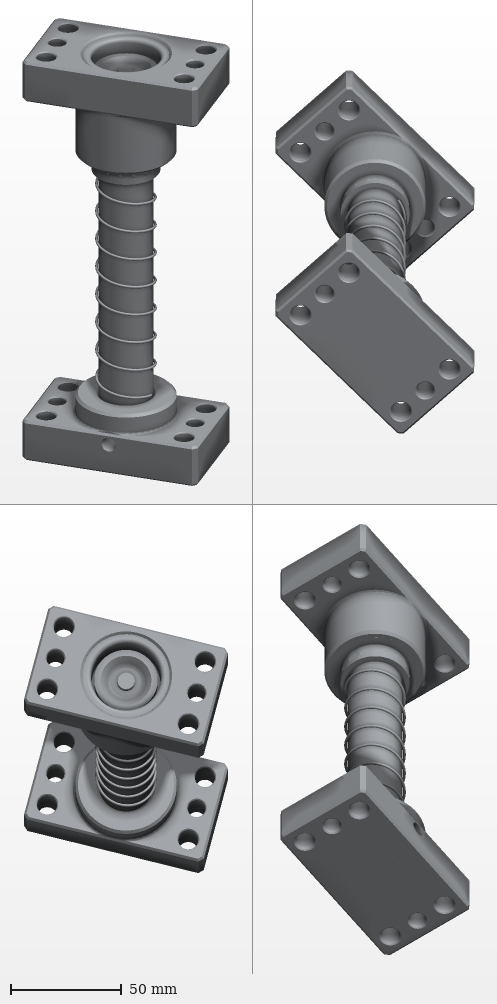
import cadquery as cq
import math

total_height = 202.3

plate_length = 84.0
plate_width = 48.0
plate_thickness = 20.0
plate_turn = 13.2
corner_chamfer = 2.0
plate_edge_chamfer = 1.0

hole_row_offset = 33.0
hole_pitch = 15.2
outer_hole_diameter = 9.1
middle_hole_diameter = 8.0
hole_chamfer = 0.5

boss_diameter = 46.0
boss_root_fillet = 1.0
boss_end_chamfer = 1.2
housing_boss_length = 30.3
base_boss_length = 10.0

post_diameter = 24.9
post_mouth_chamfer = 1.0

bush_outer_radius = 19.8
bush_bore_radius = 15.8
bush_recess = 1.0
bush_mouth_fillet = 1.8

cage_outer_radius = 15.5
cage_clearance = 0.2
cage_bottom = 143.2
ball_count = 16
ball_height = 147.3

cap_radius = 14.4
cap_depth = 7.5
cap_thickness = 6.0
cup_mouth_radius = 11.5
cup_cone_radius = 8.7
cup_cone_depth = 2.6
cup_floor_radius = 6.9
cup_depth = 3.5
screw_radius = 4.0
screw_length = 16.2
screw_chamfer = 0.3
screw_protrusion = 2.2

wire_radius = 0.6
coil_radius = 13.4
spring_pitch = 14.06
spring_turns = 7.7
spring_bottom = 32.0

cross_hole_radius = 3.5
cross_hole_height = 14.8

boss_radius = boss_diameter / 2
post_radius = post_diameter / 2
housing_plate_bottom = total_height - plate_thickness
housing_bottom = housing_plate_bottom - housing_boss_length
base_top = plate_thickness + base_boss_length
bush_top = total_height - bush_recess
cap_top = total_height - cap_depth
cap_bottom = cap_top - cap_thickness
cup_floor = cap_top - cup_depth
screw_top = cup_floor + screw_protrusion
screw_bottom = screw_top - screw_length
cage_inner_radius = post_radius + cage_clearance


def cylinder(radius, bottom, top):
    return cq.Workplane("XY").workplane(offset=bottom).circle(radius).extrude(top - bottom)


def revolved(profile):
    """Turn a profile drawn as (radius, height) about the Z axis."""
    return profile.close().revolve(360, (0, 0, 0), (0, 1, 0))


def mounting_hole(diameter, x, y):
    """Through-hole cutter with a chamfer at both plate faces."""
    radius = diameter / 2
    rim = radius + hole_chamfer
    profile = (
        cq.Workplane("XZ")
        .lineTo(rim, 0)
        .lineTo(radius, hole_chamfer)
        .lineTo(radius, plate_thickness - hole_chamfer)
        .lineTo(rim, plate_thickness)
        .lineTo(0, plate_thickness)
    )
    return revolved(profile).translate((x, y, 0))


def plate():
    """Chamfered plate with its mounting holes, from z = 0 up, square to the axes."""
    body = (
        cq.Workplane("XY")
        .box(plate_length, plate_width, plate_thickness, centered=(True, True, False))
        .edges("|Z").chamfer(corner_chamfer)
        .faces("<Z or >Z").edges().chamfer(plate_edge_chamfer)
    )
    for x in (-hole_row_offset, hole_row_offset):
        body = body.cut(mounting_hole(middle_hole_diameter, x, 0))
        for y in (-hole_pitch, hole_pitch):
            body = body.cut(mounting_hole(outer_hole_diameter, x, y))
    return body


def boss(length):
    """Boss standing on the plate's top face, with a chamfered end and a filleted root."""
    top = plate_thickness + length
    barrel = cylinder(boss_radius, plate_thickness / 2, top).faces(">Z").edges().chamfer(boss_end_chamfer)
    root = revolved(
        cq.Workplane("XZ")
        .moveTo(0, plate_thickness)
        .lineTo(boss_radius + boss_root_fillet, plate_thickness)
        .radiusArc((boss_radius, plate_thickness + boss_root_fillet), boss_root_fillet)
        .lineTo(0, plate_thickness + boss_root_fillet)
    )
    flat_width = plate_width - 2 * plate_edge_chamfer
    flat_face = (
        cq.Workplane("XY")
        .box(plate_length, flat_width, top, centered=(True, True, False))
    )
    return barrel.union(root.intersect(flat_face))


def flanged_body(boss_length):
    return plate().union(boss(boss_length))


def make_housing():
    body = flanged_body(housing_boss_length)
    body = body.rotate((0, 0, 0), (1, 0, 0), 180).translate((0, 0, total_height))
    body = body.cut(cylinder(bush_outer_radius, housing_bottom, total_height))
    mouth = cq.Solid.makeCone(
        bush_outer_radius, bush_outer_radius + bush_recess, bush_recess, pnt=cq.Vector(0, 0, bush_top)
    )
    return body.cut(cq.Workplane(mouth)).rotate((0, 0, 0), (0, 0, 1), plate_turn)


def make_base():
    body = flanged_body(base_boss_length)
    body = body.cut(cylinder(post_radius, 0, base_top))
    mouth = cq.Solid.makeCone(
        post_radius,
        post_radius + post_mouth_chamfer,
        post_mouth_chamfer,
        pnt=cq.Vector(0, 0, base_top - post_mouth_chamfer),
    )
    cross_hole = (
        cq.Workplane("XZ")
        .center(0, cross_hole_height)
        .circle(cross_hole_radius)
        .extrude(plate_width / 2)
    )
    body = body.cut(cq.Workplane(mouth)).cut(cross_hole)
    return body.rotate((0, 0, 0), (0, 0, 1), plate_turn)


def make_bush():
    body = cylinder(bush_outer_radius, housing_bottom, bush_top)
    body = body.cut(cylinder(bush_bore_radius, housing_bottom, bush_top))
    return body.faces(">Z").edges("%CIRCLE").edges(cq.selectors.RadiusNthSelector(0)).fillet(bush_mouth_fillet)


def make_cage():
    """Sleeve with a ring of balls that reach from the post to the bush bore."""
    ball_radius = (bush_bore_radius - post_radius) / 2
    ball_circle = (bush_bore_radius + post_radius) / 2
    balls = (
        cq.Workplane("XY", origin=(0, 0, ball_height))
        .polarArray(ball_circle, 0, 360, ball_count)
        .sphere(ball_radius)
    )
    body = cylinder(cage_outer_radius, cage_bottom, cap_bottom)
    body = body.union(balls)
    return body.cut(cylinder(cage_inner_radius, cage_bottom, cap_bottom))


def make_post():
    body = cylinder(post_radius, 0, cap_bottom)
    return body.cut(cylinder(screw_radius, screw_bottom, cap_bottom))


def make_cap():
    """Disc with a dished conical cup, bored for the screw."""
    cone_end = cap_top - cup_cone_depth
    cup = revolved(
        cq.Workplane("XZ")
        .moveTo(0, cap_top)
        .lineTo(cup_mouth_radius, cap_top)
        .lineTo(cup_cone_radius, cone_end)
        .tangentArcPoint((cup_floor_radius, cup_floor), relative=False)
        .lineTo(0, cup_floor)
    )
    body = cylinder(cap_radius, cap_bottom, cap_top).cut(cup)
    return body.cut(cylinder(screw_radius, cap_bottom, cap_top))


def make_screw():
    return cylinder(screw_radius, screw_bottom, screw_top).faces(">Z").edges().chamfer(screw_chamfer)


def make_spring():
    """Left-hand coil wound close around the post."""
    coil = cq.Wire.makeHelix(spring_pitch, spring_pitch * spring_turns, coil_radius, lefthand=True)
    rise = -spring_pitch / (2 * math.pi * coil_radius)
    section = cq.Plane(origin=(coil_radius, 0, 0), xDir=(1, 0, 0), normal=(0, 1, rise))
    body = cq.Workplane(section).circle(wire_radius).sweep(cq.Workplane(coil), isFrenet=True)
    return body.translate((0, 0, spring_bottom))


housing = make_housing()
bush = make_bush()
cage = make_cage()
post = make_post()
cap = make_cap()
screw = make_screw()
spring = make_spring()
base = make_base()

result = cq.Compound.makeCompound(
    [
        housing.val(),
        bush.val(),
        cage.val(),
        post.val(),
        cap.val(),
        screw.val(),
        spring.val(),
        base.val(),
    ]
)